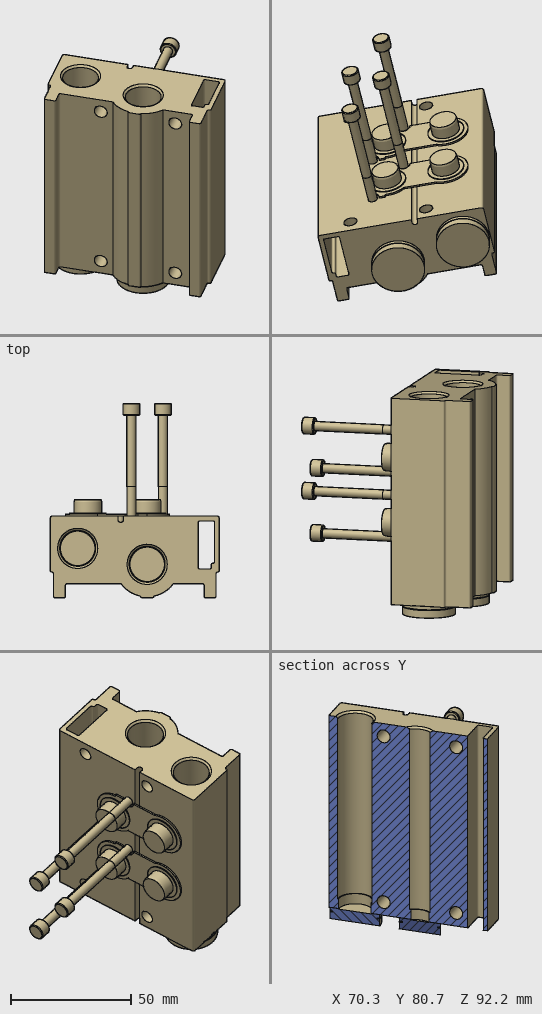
import cadquery as cq


HOUSING_WIDTH = 70.3
HOUSING_LENGTH = 87.1
SIDE_DEPTH = 23.3
WEB_DEPTH = 28.2
LEG_DEPTH = 34.0
LEG_INSET = 1.4
LEG_WIDTH = 5.0
REAR_CORNER_RADIUS = 1.0
EDGE_RADIUS = 0.6
SELECTION_MARGIN = 0.9

BORE_DIAMETER = 14.9
BORE_MOUTH_DIAMETER = 16.7
BORE_SEAT_DIAMETER = 14.3
BORE_SEAT_HEIGHT = 4.6
BORE_CENTRES = [(11.4, -13.5), (40.3, -20.1)]

BULGE_RADIUS = 13.55
RIB_HALF_WIDTH = 2.9
RIB_EDGE_RADIUS = 0.8

CHANNEL_LEFT = 61.5
CHANNEL_RIGHT = 68.2
CHANNEL_REAR = -2.1
CHANNEL_FRONT = -22.0
CHANNEL_STEP_WIDTH = 1.4
CHANNEL_STEP_DEPTH = 2.4

GROOVE_X = 29.3
GROOVE_WIDTH = 2.4
GROOVE_DEPTH = 2.7

MOUNTING_DIAMETER = 5.5
MOUNTING_X = [24.25, 56.3]
MOUNTING_Z = [6.1, 81.2]

CAP_DIAMETER = 22.0
CAP_HEIGHT = 5.1
CAP_GROOVE_DIAMETER = 19.8
CAP_GROOVE_TOP = 1.6
CAP_GROOVE_WIDTH = 0.3

PLATE_PITCH = 27.5
LOWER_PLATE_Z = 30.0
PLATE_COUNT = 2
PORT_SPACING = 24.6
PORT_RISE = 1.8
PLATE_RADIUS = 9.3
PLATE_THICKNESS = 0.7
BRIDGE_HALF_HEIGHT = 8.4
EAR_HALF_HEIGHT = 10.2
EAR_GAP = 1.0
EAR_CORNER_RADIUS = 0.8
NOTCH_DIAMETER = 5.5
COLLAR_DIAMETER = 15.2
COLLAR_TOP = 1.1
PORT_DIAMETER = 11.6
PORT_TOP = 6.7
PORT_CHAMFER_HEIGHT = 1.0
PORT_CHAMFER_WIDTH = 0.3

SCREW_HEAD_DIAMETER = 7.0
SCREW_HEAD_HEIGHT = 5.1
SCREW_HEAD_CHAMFER = 0.4
SCREW_TOP = 46.7
SHANK_DIAMETER = 4.0
THREAD_DIAMETER = 3.9
THREAD_TOP = 12.2
THREAD_END = -7.8
SCREW_OFFSET_X = 6.55
SCREW_OFFSET_Z = 10.05

FRONT_BORE_X, FRONT_BORE_Y = BORE_CENTRES[1]
PLATE_LEVELS = [LOWER_PLATE_Z + i * PLATE_PITCH for i in range(PLATE_COUNT)]
SCREW_POSITIONS = [
    (FRONT_BORE_X + side * SCREW_OFFSET_X, level - side * SCREW_OFFSET_Z)
    for level in PLATE_LEVELS
    for side in (-1, 1)
]


def box(x0, x1, y0, y1):
    """Block over the full housing length between two X and two Y limits."""
    size = (x1 - x0, y1 - y0, HOUSING_LENGTH)
    return cq.Workplane("XY").box(*size, centered=False).translate((x0, y0, 0))


def rear_cylinder(diameter, x, z, y0, y1):
    """Cylinder along Y between two Y limits."""
    axis_start = cq.Vector(x, y0, z)
    return cq.Workplane(cq.Solid.makeCylinder(diameter / 2, y1 - y0, axis_start, cq.Vector(0, 1, 0)))


def housing_profile():
    """Extruded body with the two front legs and rounded lengthwise edges."""
    leg_outer = LEG_INSET
    leg_inner = LEG_INSET + LEG_WIDTH
    left_half = [
        (0, -SIDE_DEPTH),
        (leg_outer, -SIDE_DEPTH),
        (leg_outer, -LEG_DEPTH),
        (leg_inner, -LEG_DEPTH),
        (leg_inner, -WEB_DEPTH),
    ]
    right_half = [(HOUSING_WIDTH - x, y) for x, y in reversed(left_half)]
    outline = [(0, 0), *left_half, *right_half, (HOUSING_WIDTH, 0)]
    body = cq.Workplane("XY").polyline(outline).close().extrude(HOUSING_LENGTH)
    body = body.edges("|Z and >Y").fillet(REAR_CORNER_RADIUS)
    front_edges = cq.selectors.BoxSelector(
        (-SELECTION_MARGIN, -LEG_DEPTH - SELECTION_MARGIN, 0),
        (HOUSING_WIDTH + SELECTION_MARGIN, -SIDE_DEPTH + SELECTION_MARGIN, HOUSING_LENGTH),
    )
    return body.edges("|Z").edges(front_edges).fillet(EDGE_RADIUS)


def bulge():
    """Round bulge in front of the web, with the flat rib on its crest."""
    cylinder = (
        cq.Workplane("XY").center(FRONT_BORE_X, FRONT_BORE_Y).circle(BULGE_RADIUS).extrude(HOUSING_LENGTH)
    )
    front_space = box(0, HOUSING_WIDTH, -LEG_DEPTH, -SIDE_DEPTH)
    rib = box(FRONT_BORE_X - RIB_HALF_WIDTH, FRONT_BORE_X + RIB_HALF_WIDTH, -LEG_DEPTH, -WEB_DEPTH)
    rib = rib.edges("|Z and <Y").fillet(RIB_EDGE_RADIUS)
    return cylinder.intersect(front_space).union(rib)


def bore(x, y):
    """Bore along the housing with a 45 degree mouth on top and a narrower seat at the lower end."""
    mouth_depth = (BORE_MOUTH_DIAMETER - BORE_DIAMETER) / 2
    half_profile = [
        (0, 0),
        (BORE_SEAT_DIAMETER / 2, 0),
        (BORE_SEAT_DIAMETER / 2, BORE_SEAT_HEIGHT),
        (BORE_DIAMETER / 2, BORE_SEAT_HEIGHT),
        (BORE_DIAMETER / 2, HOUSING_LENGTH - mouth_depth),
        (BORE_MOUTH_DIAMETER / 2, HOUSING_LENGTH),
        (0, HOUSING_LENGTH),
    ]
    turned = cq.Workplane("XZ").polyline(half_profile).close().revolve(360, (0, 0), (0, 1))
    return turned.translate((x, y, 0))


def channel():
    """Through channel with a step in its front right corner."""
    space = box(CHANNEL_LEFT, CHANNEL_RIGHT, CHANNEL_FRONT, CHANNEL_REAR)
    step = box(
        CHANNEL_RIGHT - CHANNEL_STEP_WIDTH, CHANNEL_RIGHT, CHANNEL_FRONT, CHANNEL_FRONT + CHANNEL_STEP_DEPTH
    )
    return space.cut(step).edges("|Z").fillet(EDGE_RADIUS)


def rear_groove():
    """Groove along the rear face with a half-round bottom."""
    radius = GROOVE_WIDTH / 2
    slot = box(GROOVE_X - radius, GROOVE_X + radius, radius - GROOVE_DEPTH, 0)
    bottom = cq.Workplane("XY").center(GROOVE_X, radius - GROOVE_DEPTH).circle(radius).extrude(HOUSING_LENGTH)
    return slot.union(bottom)


def make_housing():
    housing = housing_profile().union(bulge())
    for x, y in BORE_CENTRES:
        housing = housing.cut(bore(x, y))
    housing = housing.cut(channel()).cut(rear_groove())
    for x in MOUNTING_X:
        for z in MOUNTING_Z:
            housing = housing.cut(rear_cylinder(MOUNTING_DIAMETER, x, z, -LEG_DEPTH, 0))
    for x, z in SCREW_POSITIONS:
        housing = housing.cut(rear_cylinder(THREAD_DIAMETER, x, z, THREAD_END, 0))
    return housing


def make_end_cap(x, y):
    """Disc below a bore with a narrow groove around it."""
    cap = cq.Workplane("XY").center(x, y).circle(CAP_DIAMETER / 2).extrude(-CAP_HEIGHT)
    groove = (
        cq.Workplane("XY")
        .workplane(offset=-CAP_GROOVE_TOP)
        .center(x, y)
        .circle(CAP_DIAMETER / 2)
        .circle(CAP_GROOVE_DIAMETER / 2)
        .extrude(-CAP_GROOVE_WIDTH)
    )
    return cap.cut(groove)


def plate_block(x0, x1, z0, z1):
    """Block of plate thickness on the rear face."""
    size = (x1 - x0, PLATE_THICKNESS, z1 - z0)
    return cq.Workplane("XY").box(*size, centered=False).translate((x0, 0, z0))


def locating_peg(level):
    """Round peg that fills the rear groove over its own width, down to the groove bottom."""
    peg_z = level + PORT_RISE / 2
    return rear_cylinder(GROOVE_WIDTH, GROOVE_X, peg_z, -GROOVE_DEPTH, 0).intersect(rear_groove())


def make_port_plate(level):
    """Plate with two round flanges and two screw ears, carrying a collar and a port on each flange."""
    side_port_x = FRONT_BORE_X - PORT_SPACING
    side_port_z = level + PORT_RISE
    ear_edge = FRONT_BORE_X - EAR_GAP
    lower_ear_edge = FRONT_BORE_X + EAR_GAP
    lower_ear_end = FRONT_BORE_X + SCREW_OFFSET_X

    bridge = plate_block(
        side_port_x, FRONT_BORE_X, side_port_z - BRIDGE_HALF_HEIGHT, side_port_z + BRIDGE_HALF_HEIGHT
    )
    upper_ear = plate_block(FRONT_BORE_X - SCREW_OFFSET_X, ear_edge, level, level + EAR_HALF_HEIGHT)
    upper_ear = upper_ear.edges("|Y and >X and >Z").fillet(EAR_CORNER_RADIUS)
    lower_ear = plate_block(lower_ear_edge, lower_ear_end, level - EAR_HALF_HEIGHT, level)
    lower_ear = lower_ear.edges("|Y and <X and <Z").fillet(EAR_CORNER_RADIUS)
    plate = bridge.union(upper_ear).union(lower_ear)
    ports = [(side_port_x, side_port_z), (FRONT_BORE_X, level)]
    for x, z in ports:
        plate = plate.union(rear_cylinder(2 * PLATE_RADIUS, x, z, 0, PLATE_THICKNESS))
    for x, z in SCREW_POSITIONS:
        plate = plate.cut(rear_cylinder(NOTCH_DIAMETER, x, z, 0, PLATE_THICKNESS))
    for x, z in ports:
        collar = rear_cylinder(COLLAR_DIAMETER, x, z, 0, COLLAR_TOP)
        port = rear_cylinder(PORT_DIAMETER, x, z, 0, PORT_TOP)
        port = port.faces(">Y").chamfer(PORT_CHAMFER_HEIGHT, PORT_CHAMFER_WIDTH)
        plate = plate.union(collar).union(port)
    return plate.union(locating_peg(level))


def make_screw(x, z):
    """Cap screw whose slightly thinner thread enters the housing."""
    head_bottom = SCREW_TOP - SCREW_HEAD_HEIGHT
    head = rear_cylinder(SCREW_HEAD_DIAMETER, x, z, head_bottom, SCREW_TOP)
    head = head.faces("<Y or >Y").chamfer(SCREW_HEAD_CHAMFER)
    shank = rear_cylinder(SHANK_DIAMETER, x, z, THREAD_TOP, head_bottom)
    thread = rear_cylinder(THREAD_DIAMETER, x, z, THREAD_END, THREAD_TOP)
    return head.union(shank).union(thread)


housing = make_housing()
end_caps = [make_end_cap(x, y) for x, y in BORE_CENTRES]
port_plates = [make_port_plate(level) for level in PLATE_LEVELS]
screws = [make_screw(x, z) for x, z in SCREW_POSITIONS]

bodies = [housing, *end_caps, *port_plates, *screws]
result = cq.Compound.makeCompound([body.val() for body in bodies])